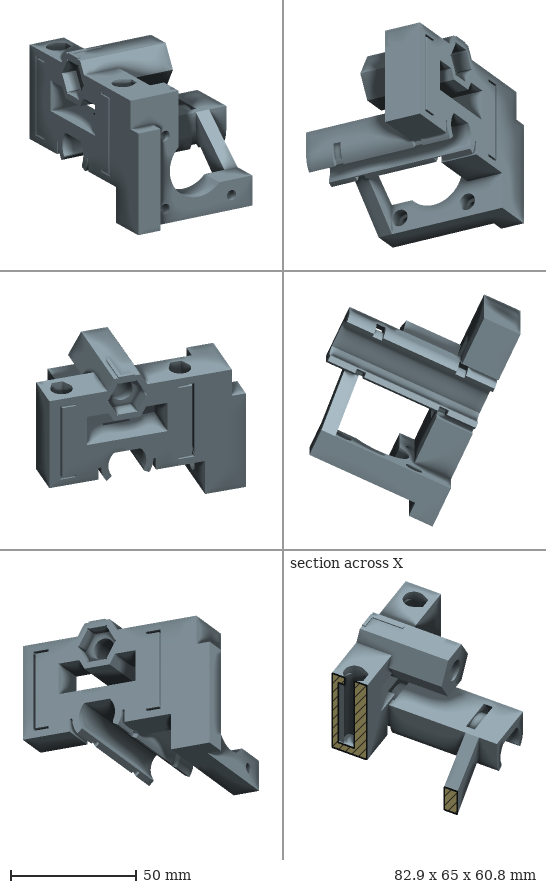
import cadquery as cq
import math


body_left = -32.9
body_right = 44.1
body_depth = 16.0
body_height = 40.0
window_width = 34.0
window_bottom = 16.8
window_height = 13.0

nut_axis_z = 35.4
housing_apothem = 9.66
housing_length = 40.0
screw_hole_diameter = 9.0
pocket_apothem = 7.1
pocket_depth = 6.5
corner_relief_radius = 0.4
corner_relief_offset = 8.05

mark_height = 0.5
mark_left = -3.75
mark_width = 7.3
mark_length = 15.2
mark_stroke = 1.4

rod_offset = 25.0
rod_y = 8.0
rod_radius = 4.5
socket_tip_y = 13.3
socket_tip_half_width = 2.25
socket_floor_z = 4.0
slit_inner_x = 21.6
slit_outer_x = 28.3
slit_width = 1.0
slit_flare = 1.5
slit_bottom_z = 3.0
slit_top_z = 36.8
slit_depth = 6.1
slit_mid_depth = 5.25

clip_length = 65.0
clip_radius = 11.0
clip_axis_z = 5.36
clip_top_z = 15.3
bore_radius = 8.0
bore_roof_z = 11.06
relief_half_width = 12.15
mouth_left = (-6.67, 0.46)
mouth_left_angle = 43.0
mouth_right = (7.1, 0.46)
mouth_right_angle = 26.5
mouth_reach = 6.0

tie_width = 4.0
tie_starts = (12.7, 49.1)
tie_floor_radius = 9.0
tie_side_exit_z = 7.5
tie_crown_z = 18.35

leg_left = 32.8
leg_bottom = -15.2
leg_length = 56.9
leg_upright_depth = 22.5
leg_rear_top = -2.4
motor_y = 31.65
motor_z = 6.6
motor_opening_radius = 13.3
motor_hole_spacing = 31.0
motor_hole_diameter = 4.2
counterbore_diameter = 7.1
counterbore_depth = 5.0

flange_right = 50.0
flange_depth = 10.4
flange_top = 27.9

strut_front = 50.8
strut_lower_slope = 0.912


def block(x0, x1, y0, y1, z0, z1):
    return cq.Workplane("XY").box(x1 - x0, y1 - y0, z1 - z0, centered=False).translate((x0, y0, z0))


def extrude_y(profile, y0, y1):
    """Extrude a profile drawn in the XZ plane from y0 to y1."""
    return profile.extrude(-(y1 - y0)).translate((0, y0, 0))


def cylinder_y(radius, z, y0, y1):
    return extrude_y(cq.Workplane("XZ").center(0, z).circle(radius), y0, y1)


def cylinder_x(diameter, y, z, x0, x1):
    profile = cq.Workplane("YZ").center(y, z).circle(diameter / 2)
    return profile.extrude(x1 - x0).translate((x0, 0, 0))


def hexagon_y(apothem, y0, y1):
    across_corners = 2 * apothem / math.cos(math.pi / 6)
    return extrude_y(cq.Workplane("XZ").center(0, nut_axis_z).polygon(6, across_corners), y0, y1)


def make_body():
    body = block(body_left, body_right, 0, body_depth, 0, body_height)
    window = block(
        -window_width / 2, window_width / 2, 0, body_depth, window_bottom, window_bottom + window_height
    )
    relief = block(-relief_half_width, relief_half_width, 0, body_depth, 0, clip_axis_z)
    return body.cut(window).cut(relief)


def make_nut_pocket():
    """Hexagonal pocket with a small round relief in each corner."""
    pocket = hexagon_y(pocket_apothem, 0, pocket_depth)
    reliefs = extrude_y(
        cq.Workplane("XZ")
        .center(0, nut_axis_z)
        .polarArray(corner_relief_offset, 0, 360, 6)
        .circle(corner_relief_radius),
        0,
        pocket_depth,
    )
    return pocket.union(reliefs)


def make_index_mark():
    base = nut_axis_z + housing_apothem
    top = base + mark_height
    stem = block(mark_left, mark_left + mark_stroke, 0, mark_length, base, top)
    foot = block(mark_left, mark_left + mark_width, 0, mark_stroke, base, top)
    return stem.union(foot)


def make_clip():
    return extrude_y(
        cq.Workplane("XZ")
        .moveTo(-clip_radius, clip_top_z)
        .lineTo(-clip_radius, clip_axis_z)
        .threePointArc((0, clip_axis_z - clip_radius), (clip_radius, clip_axis_z))
        .lineTo(clip_radius, clip_top_z)
        .close(),
        0,
        clip_length,
    )


def make_bearing_bore():
    """Flat-roofed bore together with the flared mouth between the clip tips."""
    bore = cylinder_y(bore_radius, clip_axis_z, 0, clip_length)
    roof_trim = block(-bore_radius, bore_radius, 0, clip_length, bore_roof_z, clip_axis_z + bore_radius)

    def flare_end(corner, side, angle):
        radians = math.radians(angle)
        return (
            corner[0] + side * mouth_reach * math.cos(radians),
            corner[1] - mouth_reach * math.sin(radians),
        )

    mouth = extrude_y(
        cq.Workplane("XZ").polyline(
            [
                (mouth_left[0], clip_axis_z),
                mouth_left,
                flare_end(mouth_left, -1, mouth_left_angle),
                (0, clip_axis_z - 2 * clip_radius),
                flare_end(mouth_right, 1, mouth_right_angle),
                mouth_right,
                (mouth_right[0], clip_axis_z),
            ]
        ).close(),
        0,
        clip_length,
    )
    return bore.cut(roof_trim).union(mouth)


def make_tie_channel(y_start):
    y_end = y_start + tie_width
    bottom = clip_axis_z - clip_radius
    envelope = extrude_y(
        cq.Workplane("XZ")
        .moveTo(-clip_radius, bottom)
        .lineTo(-clip_radius, tie_side_exit_z)
        .threePointArc((0, tie_crown_z), (clip_radius, tie_side_exit_z))
        .lineTo(clip_radius, bottom)
        .close(),
        y_start,
        y_end,
    )
    return envelope.cut(cylinder_y(tie_floor_radius, clip_axis_z, y_start, y_end))


def make_rod_socket():
    """Teardrop socket with a blunt tip; the flanks are tangent to the rod circle."""
    tip_y = socket_tip_y - rod_y
    tip_distance = math.hypot(socket_tip_half_width, tip_y)
    tip_angle = math.atan2(tip_y, socket_tip_half_width)
    tangent_angle = tip_angle - math.acos(rod_radius / tip_distance)
    tangent_x = rod_radius * math.cos(tangent_angle)
    tangent_y = rod_radius * math.sin(tangent_angle)
    return (
        cq.Workplane("XY")
        .moveTo(socket_tip_half_width, tip_y)
        .lineTo(tangent_x, tangent_y)
        .threePointArc((0, -rod_radius), (-tangent_x, tangent_y))
        .lineTo(-socket_tip_half_width, tip_y)
        .close()
        .extrude(body_height - socket_floor_z)
        .translate((rod_offset, rod_y, socket_floor_z))
    )


def make_clamp_slits():
    """C-shaped slit that frees a tongue of the front wall to press on the rod."""
    cross_slit = (
        cq.Workplane("XY")
        .moveTo(slit_inner_x, 0)
        .lineTo(slit_inner_x, slit_depth)
        .lineTo(rod_offset - socket_tip_half_width, slit_depth)
        .threePointArc((rod_offset, slit_mid_depth), (rod_offset + socket_tip_half_width, slit_depth))
        .lineTo(slit_outer_x, slit_depth)
        .lineTo(slit_outer_x, 0)
        .close()
        .extrude(slit_width)
    )
    upright_slit = (
        cq.Workplane("XY")
        .moveTo(slit_outer_x, 0)
        .lineTo(slit_outer_x + slit_flare, slit_depth)
        .lineTo(slit_outer_x + slit_flare - slit_width, slit_depth)
        .lineTo(slit_outer_x - slit_width, 0)
        .close()
        .extrude(slit_top_z - slit_bottom_z - 2 * slit_width)
        .translate((0, 0, slit_bottom_z + slit_width))
    )
    lower_slit = cross_slit.translate((0, 0, slit_bottom_z))
    upper_slit = cross_slit.translate((0, 0, slit_top_z - slit_width))
    return upright_slit.union(lower_slit).union(upper_slit)


def make_motor_leg():
    upright = block(leg_left, body_right, 0, leg_upright_depth, leg_bottom, body_height)
    rear = block(leg_left, body_right, 0, leg_length, leg_bottom, leg_rear_top)
    flange = block(body_right, flange_right, 0, flange_depth, leg_bottom, flange_top)
    opening = cylinder_x(2 * motor_opening_radius, motor_y, motor_z, leg_left, body_right)
    return upright.union(rear).cut(opening).union(flange)


def make_motor_screw_holes():
    """Counterbored holes at three corners of the motor's square bolt pattern."""
    half = motor_hole_spacing / 2
    holes = cq.Workplane("XY")
    for side_y, side_z in ((-1, -1), (1, -1), (-1, 1)):
        y = motor_y + side_y * half
        z = motor_z + side_z * half
        holes = holes.add(cylinder_x(motor_hole_diameter, y, z, leg_left, body_right))
        holes = holes.add(
            cylinder_x(counterbore_diameter, y, z, leg_left, leg_left + counterbore_depth)
        )
    return holes.combine()


def make_strut():
    run = leg_left - clip_radius
    return extrude_y(
        cq.Workplane("XZ").polyline(
            [
                (clip_radius, clip_top_z),
                (leg_left, leg_rear_top),
                (leg_left, leg_bottom),
                (clip_radius, leg_bottom + strut_lower_slope * run),
            ]
        ).close(),
        strut_front,
        leg_length,
    )


part = make_body()
part = part.union(make_clip())
part = part.union(hexagon_y(housing_apothem, 0, housing_length))
part = part.union(make_index_mark())
part = part.union(make_motor_leg())
part = part.union(make_strut())

part = part.cut(make_bearing_bore())
for tie_start in tie_starts:
    part = part.cut(make_tie_channel(tie_start))

part = part.cut(make_nut_pocket())
part = part.cut(cylinder_y(screw_hole_diameter / 2, nut_axis_z, 0, housing_length))

socket_cut = make_rod_socket().union(make_clamp_slits())
part = part.cut(socket_cut)
part = part.cut(socket_cut.mirror("YZ"))

result = part.cut(make_motor_screw_holes())